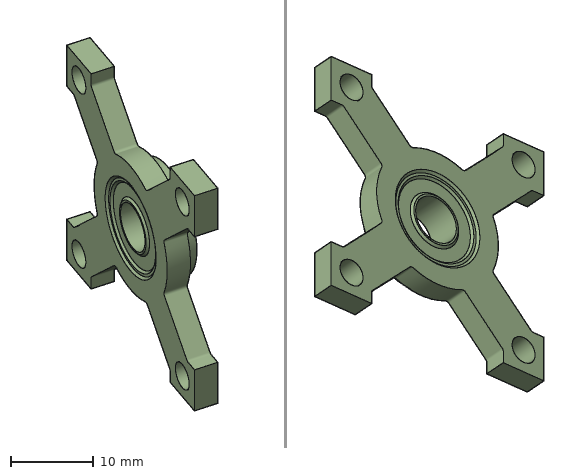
import cadquery as cq

span = 33.27
plate_thickness = 3.2
boss_height = 1.9
boss_diameter = 15.25
hub_diameter = 19.05
back_y = plate_thickness + boss_height

pad_size = 6.35
pad_center = (span - pad_size) / 2
pad_hole_diameter = 3.6
arm_width = 6.35
arm_length = 2 ** 0.5 * 2 * pad_center
root_fillet = 0.5

bore_diameter = 6.35
recess_diameter = 13.25
race_outer_diameter = 12.58
race_inner_diameter = 11.85
web_outer_diameter = 11.25
web_inner_diameter = 7.6
rim_diameter = 6.92
race_depth = 0.3
web_depth = 2 * race_depth
rim_depth = race_depth


def cylinder(diameter, start_y, end_y):
    """Cylinder about the Y axis."""
    sketch = cq.Workplane("XZ", origin=(0, start_y, 0)).circle(diameter / 2)
    return sketch.extrude(start_y - end_y)


def plate():
    """Central hub with two crossed diagonal arms and four corner pads."""
    body = cylinder(hub_diameter, 0, plate_thickness)
    for angle in (45, -45):
        arm = cq.Workplane("XZ").rect(arm_length, arm_width).extrude(-plate_thickness)
        body = body.union(arm.rotate((0, 0, 0), (0, 1, 0), angle))
    pads = (
        cq.Workplane("XZ")
        .rect(2 * pad_center, 2 * pad_center, forConstruction=True)
        .vertices()
        .rect(pad_size, pad_size)
        .extrude(-plate_thickness)
    )
    body = body.union(pads)
    inner_reach = span / 2 - root_fillet
    inside_corners = cq.selectors.BoxSelector(
        (-inner_reach, 0, -inner_reach),
        (inner_reach, plate_thickness, inner_reach),
    )
    return body.edges("|Y").edges(inside_corners).fillet(root_fillet)


def pad_holes():
    """Through holes centered in the corner pads."""
    return (
        cq.Workplane("XZ")
        .rect(2 * pad_center, 2 * pad_center, forConstruction=True)
        .vertices()
        .circle(pad_hole_diameter / 2)
        .extrude(-plate_thickness)
    )


def bearing_recess():
    """Revolved cut: sloped wall, flat race, sloped step, flat web, raised rim."""
    profile = [
        (0, 0),
        (recess_diameter / 2, 0),
        (race_outer_diameter / 2, race_depth),
        (race_inner_diameter / 2, race_depth),
        (web_outer_diameter / 2, web_depth),
        (web_inner_diameter / 2, web_depth),
        (rim_diameter / 2, rim_depth),
        (0, rim_depth),
    ]
    return cq.Workplane("XY").polyline(profile).close().revolve(360, (0, 0, 0), (0, 1, 0))


boss = cylinder(boss_diameter, plate_thickness, back_y)
bore = cylinder(bore_diameter, 0, back_y)
result = plate().union(boss).cut(pad_holes()).cut(bearing_recess()).cut(bore)